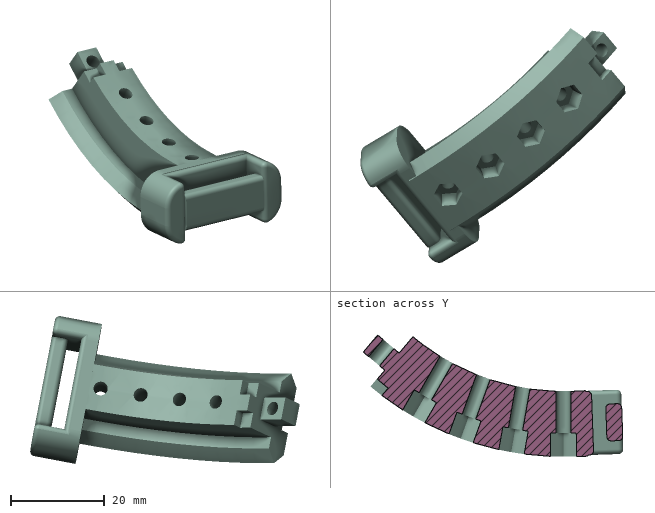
import cadquery as cq
import math

bend_angle = 40
inner_radius = 49.95
rail_height = 14.0
outer_radius = inner_radius + rail_height
base_width = 20
base_height = 5
edge_chamfer = base_height / 2
web_width = base_width / 2
straight_length = 4.7

hole_angles = [0, 10, 20, 30]
hole_diameter = 3.0
nut_diameter = 6.2
nut_depth = base_height

tab_width = 4.9
tab_height = 4.85
tab_length = 6.0
tab_bottom = 4.6
tab_hole_offset = 2.95
key_width = 5.1
key_height = 2.1
key_depth = 3.0
step_height = 2.0
step_depth = 2.9
step_tongue_width = 3.5

buckle_tilt = 2
buckle_start = 2.85
buckle_lift = 0.1
buckle_length = 10
buckle_width = 30
buckle_height = rail_height
buckle_corner_radius = 5
slot_width = base_width
slot_start = 3.65
bar_start = 6.5
bar_recess = 3.0
edge_radius = 1.0
rim_width = 1.2
rim_drop = 0.14

clearance = 0.55


def block(length, width, height, x_start, z_start):
    """Box centred on Y that starts at the given X and Z."""
    box = cq.Workplane("XY").box(length, width, height, centered=(False, True, False))
    return box.translate((x_start, 0, z_start))


def along_bend(shape, angle):
    """Carry a shape from the start of the bend to the given bend angle."""
    return shape.rotate((0, 0, outer_radius), (0, 1, outer_radius), angle)


def rail_profile():
    half_base = base_width / 2
    half_flat = half_base - edge_chamfer
    half_web = web_width / 2
    return cq.Workplane("YZ").polyline([
        (-half_flat, 0),
        (half_flat, 0),
        (half_base, edge_chamfer),
        (half_flat, base_height),
        (half_web, base_height),
        (half_web, rail_height),
        (-half_web, rail_height),
        (-half_web, base_height),
        (-half_flat, base_height),
        (-half_base, edge_chamfer),
    ]).close()


def make_rail():
    bend = rail_profile().revolve(bend_angle, (0, outer_radius), (1, outer_radius))
    straight = rail_profile().extrude(straight_length)
    return bend.union(straight)


def screw_hole(angle):
    """Through hole with a hexagonal pocket in the base, its corners pointing along Y."""
    hole = cq.Workplane("XY").circle(hole_diameter / 2).extrude(rail_height + clearance)
    nut = cq.Workplane("XY").polygon(6, nut_diameter).extrude(nut_depth + clearance)
    nut = nut.rotate((0, 0, 0), (0, 0, 1), 90).translate((0, 0, -clearance))
    return along_bend(hole.union(nut), angle)


def make_tab():
    tab = block(tab_length, tab_width, tab_height, -tab_length, tab_bottom)
    hole = cq.Workplane("XY").circle(hole_diameter / 2).extrude(rail_height)
    tab = tab.cut(hole.translate((-tab_hole_offset, 0, 0)))
    return along_bend(tab, bend_angle)


def end_cuts():
    """Key slot in the base and a step on both sides of the web."""
    key = block(key_depth, key_width, key_height + clearance, 0, -clearance)
    step_floor = rail_height - step_height
    steps = block(step_depth, web_width, step_height + clearance, 0, step_floor)
    tongue = block(step_depth, step_tongue_width, step_height + clearance, 0, step_floor)
    return along_bend(key.union(steps.cut(tongue)), bend_angle)


def flared_wall(outline, wall, outward, travel):
    """Continue an outline along a wall whose two ends round outwards into a shallow rim.

    outward is the side the rounding opens to, travel is the drawing direction (both 1 or -1).
    """
    top = travel * (buckle_height / 2 + clearance)
    ledge = travel * (buckle_height / 2 - rim_drop)
    tangent = ledge - travel * edge_radius
    arc_inset = edge_radius * (1 - math.sqrt(0.5))
    arc_middle = ledge - travel * arc_inset
    rim = wall + outward * rim_width
    crest = wall + outward * edge_radius
    bulge = wall + outward * arc_inset
    return (
        outline.lineTo(rim, -top)
        .lineTo(rim, -ledge)
        .lineTo(crest, -ledge)
        .threePointArc((bulge, -arc_middle), (wall, -tangent))
        .lineTo(wall, tangent)
        .threePointArc((bulge, arc_middle), (crest, ledge))
        .lineTo(rim, ledge)
        .lineTo(rim, top)
    )


def strap_opening():
    """Opening with mitred, rounded edges on three sides, running out through the buckle end."""
    top = buckle_height / 2 + clearance
    open_end = buckle_length + clearance
    lengthwise = flared_wall(cq.Workplane("XZ").moveTo(open_end, -top), slot_start, -1, 1)
    lengthwise = lengthwise.lineTo(open_end, top).close().extrude(buckle_width, both=True)
    crosswise = flared_wall(cq.Workplane("YZ").moveTo(0, -top), -slot_width / 2, -1, 1)
    crosswise = flared_wall(crosswise, slot_width / 2, 1, -1)
    crosswise = crosswise.close().extrude(buckle_width, both=True)
    return lengthwise.intersect(crosswise)


def make_bar():
    bar_length = buckle_length - bar_start
    bar = cq.Workplane("XY").box(bar_length, slot_width, buckle_height - 2 * bar_recess)
    return bar.edges("|Y").fillet(edge_radius).translate((bar_start + bar_length / 2, 0, 0))


def make_buckle():
    """Buckle built about its mid-height, then set on the rail end and tilted."""
    frame = cq.Workplane("XY").box(buckle_length, buckle_width, buckle_height)
    frame = frame.edges("|X").fillet(buckle_corner_radius).translate((buckle_length / 2, 0, 0))
    frame = frame.cut(strap_opening())
    frame = frame.faces(">X").edges().fillet(edge_radius)
    buckle = frame.union(make_bar()).translate((0, 0, buckle_height / 2))
    buckle = buckle.rotate((0, 0, 0), (0, 1, 0), -buckle_tilt)
    return buckle.translate((buckle_start, 0, buckle_lift))


result = make_rail().cut(end_cuts())
for hole_angle in hole_angles:
    result = result.cut(screw_hole(hole_angle))
result = result.union(make_tab()).union(make_buckle())